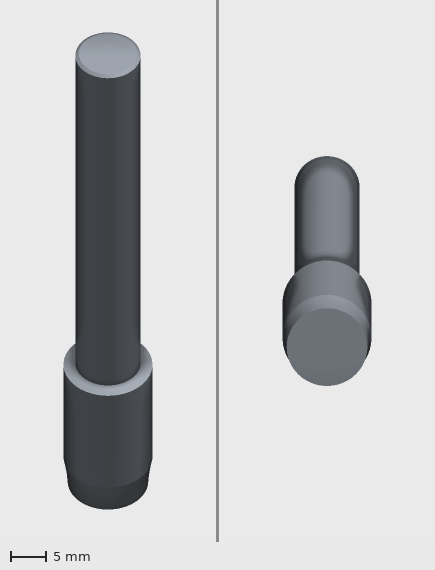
import cadquery as cq

total_length = 85.7
pin_radius = 9.3 / 2
sleeve_radius = 12.7 / 2

chamfer_width = 0.5
chamfer_height = 0.3

sleeve_length = 23.8
shoulder_height = 23.4
nose_height = 5.0
nose_middle_radius = 5.95
nose_tip_radius = 5.75


def make_pin():
    """Plain round pin running the full length, chamfered at the top."""
    return (
        cq.Workplane("YZ")
        .moveTo(0, 0)
        .lineTo(-pin_radius, 0)
        .lineTo(-pin_radius, total_length - chamfer_height)
        .lineTo(-(pin_radius - chamfer_width), total_length)
        .lineTo(0, total_length)
        .close()
        .revolve(360, (0, 0), (0, 1))
    )


def make_sleeve():
    """Bored sleeve with a shallow conical top and a slightly hollow tapered nose."""
    return (
        cq.Workplane("YZ")
        .moveTo(-pin_radius, 0)
        .lineTo(-nose_tip_radius, 0)
        .threePointArc((-nose_middle_radius, nose_height / 2), (-sleeve_radius, nose_height))
        .lineTo(-sleeve_radius, shoulder_height)
        .lineTo(-pin_radius, sleeve_length)
        .close()
        .revolve(360, (0, 0), (0, 1))
    )


pin = make_pin()
sleeve = make_sleeve()

result = cq.Compound.makeCompound([pin.val(), sleeve.val()])